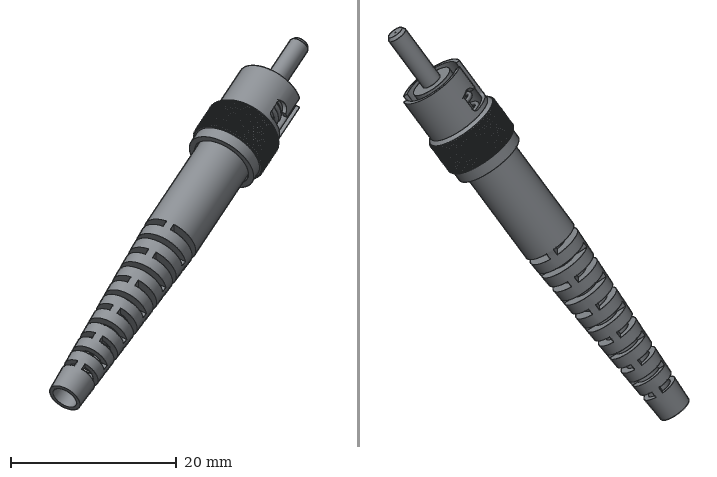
import cadquery as cq
import math

TOTAL_LENGTH = 59.75

FERRULE_DIAMETER = 2.5
FERRULE_TIP_DIAMETER = 2.05
FERRULE_CHAMFER_LENGTH = 0.4
FIBRE_HOLE_DIAMETER = 0.14
FERRULE_REAR_Y = 46.6

NUT_FRONT_Y = 52.0
NUT_REAR_Y = 39.75
NUT_BORE_DIAMETER = 7.4
BARREL_DIAMETER = 8.4
REAR_RING_DIAMETER = 8.85
SHOULDER_FRONT_Y = 44.35
SHOULDER_REAR_Y = 43.0

KNURL_FRONT_Y = 45.7
KNURL_REAR_Y = 41.25
KNURL_DIAMETER = 9.6
KNURL_DEPTH = 0.2
KNURL_TEETH = 80
KNURL_ROWS = 16

SLOT_WIDTH = 1.85
SLOT_END_Y = 46.75
SLOT_CORNER_RADIUS = 0.4
CHANNEL_FRONT_Y = 48.75
LATCH_FLOOR = 3.15
LATCH_RADIUS = 0.95
LATCH_Y = 48.5
LATCH_OFFSET = 2.45

COLLAR_DIAMETER = 5.3
COLLAR_REAR_Y = 49.85
SHANK_DIAMETER = 4.4
SHANK_REAR_Y = 35.85
CRIMP_TUBE_DIAMETER = 3.15
CRIMP_TUBE_REAR_Y = 16.15
CABLE_HOLE_DIAMETER = 1.0

SPRING_OUTER_DIAMETER = 6.1
SPRING_INNER_DIAMETER = 5.0
SPRING_WIRE_DIAMETER = (SPRING_OUTER_DIAMETER - SPRING_INNER_DIAMETER) / 2
SPRING_MEAN_RADIUS = (SPRING_OUTER_DIAMETER + SPRING_INNER_DIAMETER) / 4
SPRING_CLOSED_PITCH = 0.6
SPRING_OPEN_PITCH = 1.55
SPRING_TURNS = 5
POINTS_PER_TURN = 24
SPRING_END_GAP = 0.05
SPRING_START_Y = COLLAR_REAR_Y - SPRING_END_GAP - SPRING_WIRE_DIAMETER / 2
SPRING_TRAVEL = SPRING_OPEN_PITCH + 2 * SPRING_CLOSED_PITCH + (SPRING_CLOSED_PITCH + SPRING_OPEN_PITCH)

BOOT_DIAMETER = 7.05
BOOT_TAIL_DIAMETER = 4.2
BOOT_FRONT_Y = 41.4
BOOT_TAPER_Y = 26.7
BOOT_BORE_DIAMETER = 3.2
SLIT_COUNT = 11
SLIT_PITCH = 2.25
FIRST_SLIT_Y = 26.3
SIDE_SLIT_WIDTH = 0.85
TOP_SLIT_WIDTH = 0.7
BRIDGE_WIDTH = 1.0


def cylinder(diameter, start_y, end_y):
    """Solid cylinder around the Y axis between two stations."""
    return (
        cq.Workplane("XZ", origin=(0, start_y, 0))
        .circle(diameter / 2)
        .extrude(start_y - end_y)
    )


def turned(profile):
    """Solid of revolution around the Y axis from (radius, y) points."""
    return cq.Workplane("XY").polyline(profile).close().revolve(360, (0, 0, 0), (0, 1, 0))


def make_ferrule():
    radius = FERRULE_DIAMETER / 2
    rod = turned([
        (0, FERRULE_REAR_Y),
        (radius, FERRULE_REAR_Y),
        (radius, TOTAL_LENGTH - FERRULE_CHAMFER_LENGTH),
        (FERRULE_TIP_DIAMETER / 2, TOTAL_LENGTH),
        (0, TOTAL_LENGTH),
    ])
    return rod.cut(cylinder(FIBRE_HOLE_DIAMETER, FERRULE_REAR_Y, TOTAL_LENGTH))


def make_body():
    collar = cylinder(COLLAR_DIAMETER, COLLAR_REAR_Y, NUT_FRONT_Y)
    shank = cylinder(SHANK_DIAMETER, SHANK_REAR_Y, COLLAR_REAR_Y)
    tube = cylinder(CRIMP_TUBE_DIAMETER, CRIMP_TUBE_REAR_Y, SHANK_REAR_Y)
    ferrule_hole = cylinder(FERRULE_DIAMETER, FERRULE_REAR_Y, NUT_FRONT_Y)
    cable_hole = cylinder(CABLE_HOLE_DIAMETER, CRIMP_TUBE_REAR_Y, FERRULE_REAR_Y)
    return collar.union(shank).union(tube).cut(ferrule_hole).cut(cable_hole)


def knurl_point(column, row):
    """Corner of the knurl grid: peaks alternate with valleys, and both end rows are valleys."""
    is_valley = (column + row) % 2 == 1 or row in (0, KNURL_ROWS)
    radius = KNURL_DIAMETER / 2 - (KNURL_DEPTH if is_valley else 0)
    angle = math.pi * column / KNURL_TEETH
    y = KNURL_REAR_Y + (KNURL_FRONT_Y - KNURL_REAR_Y) * row / KNURL_ROWS
    return cq.Vector(radius * math.cos(angle), y, radius * math.sin(angle))


def flat_face(points):
    return cq.Face.makeFromWires(cq.Wire.makePolygon(points, close=True))


def make_knurl():
    """Solid disc with a rim of small pyramids; each grid cell is folded along its valley."""
    columns = 2 * KNURL_TEETH
    faces = []
    for row in (0, KNURL_ROWS):
        faces.append(flat_face([knurl_point(column, row) for column in range(columns)]))
    for row in range(KNURL_ROWS):
        for column in range(columns):
            after = (column + 1) % columns
            corners = [
                knurl_point(column, row),
                knurl_point(after, row),
                knurl_point(after, row + 1),
                knurl_point(column, row + 1),
            ]
            if (column + row) % 2 == 0:
                corners = corners[1:] + corners[:1]
            faces.append(flat_face(corners[:3]))
            faces.append(flat_face(corners[2:] + corners[:1]))
    return cq.Workplane(cq.Solid.makeSolid(cq.Shell.makeShell(faces)))


def make_knurl_shoulder():
    """Cone that rises from the barrel to the valleys of the knurl."""
    barrel = BARREL_DIAMETER / 2
    valley = KNURL_DIAMETER / 2 - KNURL_DEPTH
    return turned([
        (0, KNURL_FRONT_Y),
        (valley, KNURL_FRONT_Y),
        (barrel, KNURL_FRONT_Y + valley - barrel),
        (0, KNURL_FRONT_Y + valley - barrel),
    ])


def bayonet_slot():
    """L-shaped slot through the -X wall: in from the front, then down to a round latch seat."""
    def prism(y_size, z_size, y_centre, z_centre):
        return cq.Workplane("XY").box(BARREL_DIAMETER / 2, y_size, z_size).translate(
            (-BARREL_DIAMETER / 4, y_centre, z_centre)
        )

    entry = prism(NUT_FRONT_Y - SLOT_END_Y, SLOT_WIDTH, (NUT_FRONT_Y + SLOT_END_Y) / 2, 0)
    drop = SLOT_WIDTH / 2 + LATCH_FLOOR
    channel = prism(
        CHANNEL_FRONT_Y - SLOT_END_Y, drop, (CHANNEL_FRONT_Y + SLOT_END_Y) / 2, SLOT_WIDTH / 2 - drop / 2
    )
    seat = (
        cq.Workplane("YZ")
        .center(LATCH_Y, -LATCH_OFFSET)
        .circle(LATCH_RADIUS)
        .extrude(-BARREL_DIAMETER / 2)
    )
    seat_limit = prism(2 * LATCH_RADIUS, LATCH_FLOOR, LATCH_Y, -LATCH_FLOOR / 2)
    slot = entry.union(channel).edges("|X and <Y").fillet(SLOT_CORNER_RADIUS)
    return slot.union(seat.intersect(seat_limit))


def nut_hollow():
    """Everything removed from the nut: stepped bore and the two bayonet slots."""
    hollow = (
        cylinder(NUT_BORE_DIAMETER, SHOULDER_FRONT_Y, NUT_FRONT_Y)
        .union(cylinder(SHANK_DIAMETER, SHOULDER_REAR_Y, SHOULDER_FRONT_Y))
        .union(cylinder(NUT_BORE_DIAMETER, NUT_REAR_Y, SHOULDER_REAR_Y))
    )
    slot = bayonet_slot()
    for angle in (0, 180):
        hollow = hollow.union(slot.rotate((0, 0, 0), (0, 1, 0), angle))
    return hollow


def make_nut():
    barrel = cylinder(BARREL_DIAMETER, KNURL_FRONT_Y, NUT_FRONT_Y)
    ring = cylinder(REAR_RING_DIAMETER, NUT_REAR_Y, KNURL_REAR_Y)
    smooth_parts = barrel.union(ring).union(make_knurl_shoulder())
    return make_knurl().union(smooth_parts, clean=False).cut(nut_hollow(), clean=False)


def spring_advance(turns):
    """Axial travel after a number of turns: one closed turn, a turn of rising pitch, then open."""
    ramp = min(max(turns - 1, 0), 1)
    open_turns = max(turns - 2, 0)
    pitch_rise = SPRING_OPEN_PITCH - SPRING_CLOSED_PITCH
    return SPRING_CLOSED_PITCH * turns + pitch_rise * (ramp ** 2 / 2 + open_turns)


def spring_point(fraction):
    """Wire centre at a fraction of the spring; the second half mirrors the first."""
    turns = SPRING_TURNS * fraction
    if fraction <= 0.5:
        travel = spring_advance(turns)
    else:
        travel = SPRING_TRAVEL - spring_advance(SPRING_TURNS - turns)
    angle = 2 * math.pi * turns
    return (
        -SPRING_MEAN_RADIUS * math.cos(angle),
        SPRING_START_Y - travel,
        SPRING_MEAN_RADIUS * math.sin(angle),
    )


def make_spring():
    """Round-wire spring that starts against the collar on the -X side."""
    steps = SPRING_TURNS * POINTS_PER_TURN
    path = cq.Workplane("XY").spline([spring_point(step / steps) for step in range(steps + 1)])
    return (
        cq.Workplane("XY", origin=(-SPRING_MEAN_RADIUS, SPRING_START_Y, 0))
        .circle(SPRING_WIRE_DIAMETER / 2)
        .sweep(path, isFrenet=True)
    )


def boot_slit(index):
    """Two opposite cuts that leave a bridge on either side; they alternate between X and Z."""
    y = FIRST_SLIT_Y - index * SLIT_PITCH
    from_sides = index % 2 == 0
    width = SIDE_SLIT_WIDTH if from_sides else TOP_SLIT_WIDTH
    across = cq.Workplane("XY").box(BOOT_DIAMETER, width, BOOT_DIAMETER)
    bridge = cq.Workplane("XY").box(BRIDGE_WIDTH, width, BOOT_DIAMETER)
    turn = 0 if from_sides else 90
    return across.cut(bridge).rotate((0, 0, 0), (0, 1, 0), turn).translate((0, y, 0))


def make_boot():
    bore = BOOT_BORE_DIAMETER / 2
    outer = BOOT_DIAMETER / 2
    shank = SHANK_DIAMETER / 2
    boot = turned([
        (bore, 0),
        (BOOT_TAIL_DIAMETER / 2, 0),
        (outer, BOOT_TAPER_Y),
        (outer, BOOT_FRONT_Y),
        (shank, BOOT_FRONT_Y),
        (shank, SHANK_REAR_Y),
        (bore, SHANK_REAR_Y),
    ])
    for index in range(SLIT_COUNT):
        boot = boot.cut(boot_slit(index))
    return boot


ferrule = make_ferrule()
body = make_body()
nut = make_nut()
spring = make_spring()
boot = make_boot()

result = cq.Compound.makeCompound([ferrule.val(), body.val(), nut.val(), spring.val(), boot.val()])